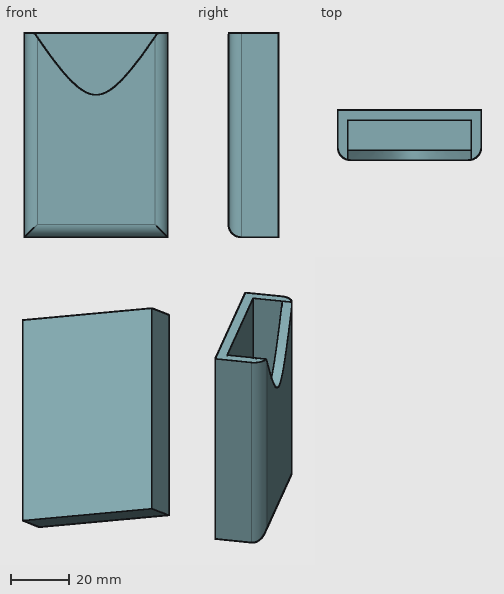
import cadquery as cq

width = 49.2
depth = 17.2
height = 70.0
wall = 3.5
edge_radius = 4.5

notch_depth = 21.2
notch_shoulder_x = 12.05
notch_shoulder_drop = 12.45

pocket_width = width - 2 * wall
pocket_depth = depth - 2 * wall


def outer_block():
    """Block with its front side and bottom edges rounded; the top stays square."""
    block = cq.Workplane("XY").box(width, depth, height, centered=(True, True, False))
    return block.faces("<Y").edges("not >Z").fillet(edge_radius)


def card_pocket():
    """Rectangular pocket, open at the top, leaving a floor one wall thick."""
    return (
        cq.Workplane("XY", origin=(0, 0, wall))
        .box(pocket_width, pocket_depth, height, centered=(True, True, False))
    )


def thumb_notch():
    """Smooth bell-shaped notch spanning the pocket width, through the front wall only."""
    half_width = pocket_width / 2
    shoulder_z = height - notch_shoulder_drop
    return (
        cq.Workplane("XZ", origin=(0, -depth / 2 + wall, 0))
        .moveTo(-half_width, height)
        .spline(
            [
                (-notch_shoulder_x, shoulder_z),
                (0, height - notch_depth),
                (notch_shoulder_x, shoulder_z),
                (half_width, height),
            ],
            includeCurrent=True,
        )
        .close()
        .extrude(wall)
    )


result = outer_block().cut(card_pocket()).cut(thumb_notch())